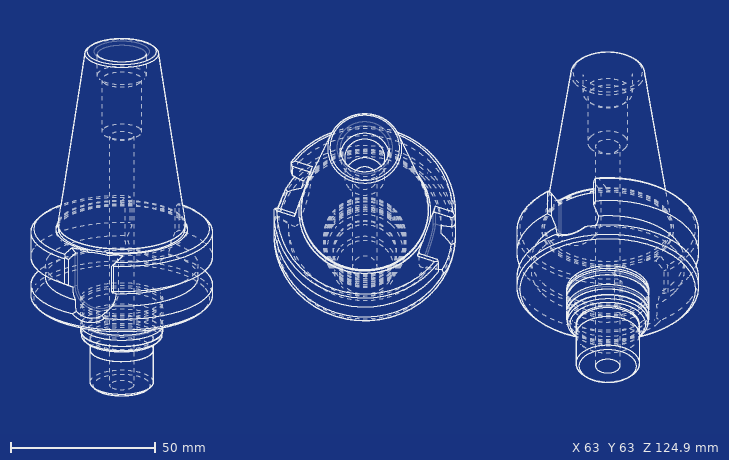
import cadquery as cq
import math

gauge_dia = 44.45
taper_ratio = 7 / 24
taper_top_z = 65.4
taper_base_z = 0.6
tip_chamfer = 0.7
neck_dia = 43.85
neck_chamfer = (gauge_dia - taper_base_z * taper_ratio - neck_dia) / 2
recess_dia = 45.6
recess_depth = 0.7

flange_dia = 63.0
flange_top_z = -1.0
flange_bottom_z = -27.0
flange_chamfer = 1.1
groove_dia = 53.0
groove_mid_z = -16.7
groove_floor_width = 4.6
groove_flank_angle = 30.0

slot_width = 16.1
slot_floor_y = 22.5
slot_end_z = -22.8
slot_top_chamfer = 1.6
slot_rim_chamfer = 1.2
edge_search_margin = 0.3
slot_floor_fillet = 0.6

collar_dia = 28.5
collar_end_dia = 28.0
collar_length = 14.7
collar_chamfer = 0.9
collar_end_length = 2.5
collar_undercut_width = 1.1
undercut_depth = 0.15
ring_groove_starts = (1.9, 7.95)
ring_groove_depth = 0.4
ring_groove_lead = 0.6
ring_groove_width = 1.9
spigot_dia = 22.0
relief_dia = 21.9
relief_length = 4.5
spigot_undercut_width = 0.7
stub_length = 32.5
stub_chamfer = 1.1

mouth_radius = 1.1
counterbore_dia = 17.0
counterbore_depth = 8.9
thread_core_dia = 13.84
thread_cone_length = 1.6
thread_core_depth = 30.0
through_dia = 8.38
drill_point_angle = 118.0


def taper_radius(z):
    """Radius of the shank cone at height z."""
    return (gauge_dia - z * taper_ratio) / 2


def revolve_about_z(profile):
    """Solid of revolution from an (r, z) profile that is closed along the axis."""
    return profile.close().revolve(360, (0, 0, 0), (0, 1, 0))


def make_shank():
    neck_r = neck_dia / 2
    tip_r = taper_radius(taper_top_z)
    profile = (
        cq.Workplane("XZ")
        .moveTo(0, taper_top_z)
        .lineTo(tip_r - tip_chamfer, taper_top_z)
        .lineTo(taper_radius(taper_top_z - tip_chamfer), taper_top_z - tip_chamfer)
        .lineTo(taper_radius(taper_base_z), taper_base_z)
        .lineTo(neck_r, taper_base_z - neck_chamfer)
        .lineTo(neck_r, groove_mid_z)
        .lineTo(0, groove_mid_z)
    )
    return revolve_about_z(profile)


def make_flange():
    outer_r = flange_dia / 2
    groove_r = groove_dia / 2
    floor_half = groove_floor_width / 2
    mouth_half = floor_half + (outer_r - groove_r) * math.tan(math.radians(groove_flank_angle))
    profile = (
        cq.Workplane("XZ")
        .moveTo(0, flange_top_z)
        .lineTo(outer_r - flange_chamfer, flange_top_z)
        .lineTo(outer_r, flange_top_z - flange_chamfer)
        .lineTo(outer_r, groove_mid_z + mouth_half)
        .lineTo(groove_r, groove_mid_z + floor_half)
        .lineTo(groove_r, groove_mid_z - floor_half)
        .lineTo(outer_r, groove_mid_z - mouth_half)
        .lineTo(outer_r, flange_bottom_z + flange_chamfer)
        .lineTo(outer_r - flange_chamfer, flange_bottom_z)
        .lineTo(0, flange_bottom_z)
    )
    return revolve_about_z(profile)


def make_neck_recess():
    """Ring around the neck whose floor slopes down and outwards."""
    neck_r = neck_dia / 2
    recess_r = recess_dia / 2
    profile = (
        cq.Workplane("XZ")
        .moveTo(neck_r, flange_top_z)
        .lineTo(recess_r, flange_top_z)
        .lineTo(recess_r, flange_top_z - recess_depth)
    )
    return revolve_about_z(profile)


def make_drive_slot():
    """Round-ended slot cutter on the -Y side, its floor edge rounded."""
    slot_r = slot_width / 2
    arc_z = slot_end_z + slot_r
    cutter = (
        cq.Workplane("XZ", origin=(0, -slot_floor_y, 0))
        .moveTo(-slot_r, taper_base_z)
        .lineTo(-slot_r, arc_z)
        .threePointArc((0, slot_end_z), (slot_r, arc_z))
        .lineTo(slot_r, taper_base_z)
        .close()
        .extrude(flange_dia / 2 - slot_floor_y)
    )
    floor_edges = cutter.faces(">Y").edges("not(>Z)")
    return floor_edges.fillet(slot_floor_fillet)


def cut_both_sides(body, cutter):
    """Cut with a -Y side cutter and with its half-turn copy on the +Y side."""
    opposite = cutter.rotate((0, 0, 0), (0, 0, 1), 180)
    return body.cut(cutter).cut(opposite)


def chamfer_slot_tops(body):
    """Slope the top edges of the slot walls down into the slots."""
    slot_r = slot_width / 2
    bevel_z = flange_top_z - slot_top_chamfer
    wedge = (
        cq.Workplane("XZ", origin=(0, -slot_floor_y, 0))
        .moveTo(-slot_r - slot_top_chamfer, flange_top_z)
        .lineTo(slot_r + slot_top_chamfer, flange_top_z)
        .lineTo(slot_r, bevel_z)
        .lineTo(-slot_r, bevel_z)
        .close()
        .extrude(flange_dia / 2 - slot_floor_y)
    )
    return cut_both_sides(body, wedge)


def chamfer_slot_rims(body):
    """Break the edges where the slots run out through the flange cylinder."""
    slot_r = slot_width / 2
    reach = slot_r + edge_search_margin
    wall_y = math.sqrt((flange_dia / 2) ** 2 - slot_r ** 2)
    for side in (-1, 1):
        rim_box = cq.selectors.BoxSelector(
            (-reach, side * (wall_y - edge_search_margin), flange_bottom_z + flange_chamfer),
            (reach, side * (flange_dia / 2 + edge_search_margin), flange_top_z - slot_top_chamfer),
        )
        body = body.edges(rim_box).edges("|Z or %BSPLINE").chamfer(slot_rim_chamfer)
    return body


def make_stub():
    collar_r = collar_dia / 2
    collar_end_r = collar_end_dia / 2
    spigot_r = spigot_dia / 2
    groove_root_r = collar_r - ring_groove_depth
    collar_end_z = flange_bottom_z - collar_length
    relief_r = relief_dia / 2
    relief_end_z = collar_end_z - relief_length
    end_z = flange_bottom_z - stub_length
    profile = (
        cq.Workplane("XZ")
        .moveTo(0, flange_bottom_z)
        .lineTo(collar_r, flange_bottom_z)
        .threePointArc(
            (collar_r - undercut_depth, flange_bottom_z - collar_undercut_width / 2),
            (collar_r, flange_bottom_z - collar_undercut_width),
        )
    )
    for start in ring_groove_starts:
        top_z = flange_bottom_z - start
        profile = (
            profile.lineTo(collar_r, top_z)
            .lineTo(groove_root_r, top_z - ring_groove_lead)
            .tangentArcPoint((collar_r, top_z - ring_groove_width), relative=False)
        )
    profile = (
        profile.lineTo(collar_r, collar_end_z + collar_end_length)
        .lineTo(collar_end_r, collar_end_z + collar_end_length)
        .lineTo(collar_end_r, collar_end_z + collar_chamfer)
        .lineTo(collar_end_r - collar_chamfer, collar_end_z)
        .lineTo(relief_r, collar_end_z)
        .threePointArc(
            (relief_r - undercut_depth, collar_end_z - spigot_undercut_width / 2),
            (relief_r, collar_end_z - spigot_undercut_width),
        )
        .lineTo(relief_r, relief_end_z)
        .lineTo(spigot_r, relief_end_z)
        .lineTo(spigot_r, end_z + stub_chamfer)
        .lineTo(spigot_r - stub_chamfer, end_z)
        .lineTo(0, end_z)
    )
    return revolve_about_z(profile)


def make_bore():
    counterbore_r = counterbore_dia / 2
    core_r = thread_core_dia / 2
    through_r = through_dia / 2
    counterbore_z = taper_top_z - counterbore_depth
    core_end_z = taper_top_z - thread_core_depth
    drill_point = (core_r - through_r) / math.tan(math.radians(drill_point_angle / 2))
    end_z = flange_bottom_z - stub_length
    profile = (
        cq.Workplane("XZ")
        .moveTo(0, taper_top_z)
        .lineTo(counterbore_r + mouth_radius, taper_top_z)
        .radiusArc((counterbore_r, taper_top_z - mouth_radius), -mouth_radius)
        .lineTo(counterbore_r, counterbore_z)
        .lineTo(core_r, counterbore_z - thread_cone_length)
        .lineTo(core_r, core_end_z)
        .lineTo(through_r, core_end_z - drill_point)
        .lineTo(through_r, end_z)
        .lineTo(0, end_z)
    )
    return revolve_about_z(profile)


flange = make_flange().cut(make_neck_recess())
flange = cut_both_sides(flange, make_drive_slot())
flange = chamfer_slot_rims(chamfer_slot_tops(flange))
body = flange.union(make_shank()).union(make_stub())
result = body.cut(make_bore())